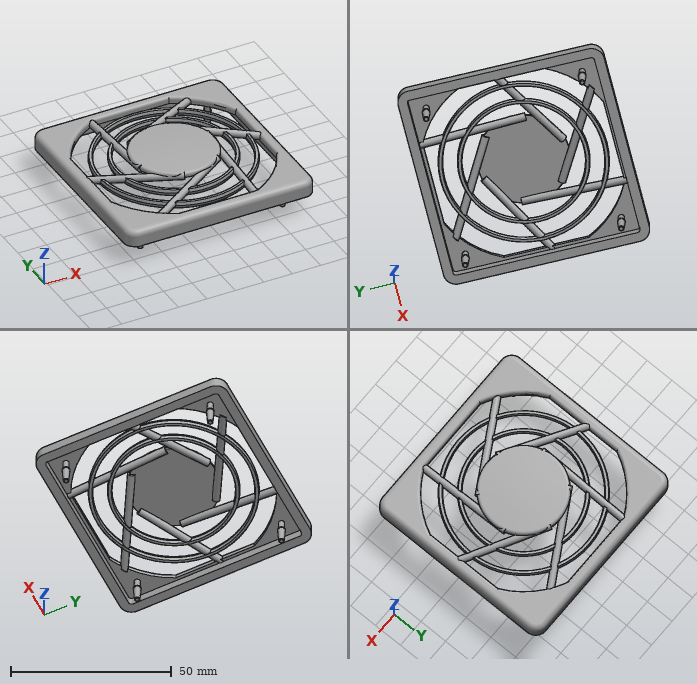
import cadquery as cq
import math

frame_size = 66.0
frame_height = 5.5
corner_radius = 4.0
rim_fillet = 2.0
plate_thickness = 2.3
skirt_thickness = 3.05

opening_radius = 32.0
opening_half_width = 29.0
opening_fillet = 1.0

hub_radius = 14.6
hub_bottom = 6.5
hub_top = 8.5
dome_rise = 0.4
hub_edge_fillet = 1.0

spoke_count = 6
spoke_radius = 1.25
spoke_bulge = 0.1
spoke_offset = hub_radius + spoke_bulge - spoke_radius
spoke_hub_height = 6.5
spoke_drop_per_length = 0.085
spoke_overlap = 3.95

ring_radii = (19.9, 25.95)
ring_width = 1.5
ring_flat_width = 0.9
ring_height = 2.2
ring_below_spokes = 0.25

pin_position = 25.0
pin_length = 6.6
neck_radius = 1.0
neck_length = 0.5
pin_top_radius = 1.25
pin_tip_radius = 0.85
pin_tip_chamfer = 0.25

plate_bottom = frame_height - plate_thickness


def opening_prism(margin, bottom, height):
    """Solid with the opening outline grown outward by the margin."""
    width = 2 * (opening_half_width + margin)
    disc = cq.Workplane("XY").workplane(offset=bottom).circle(opening_radius + margin).extrude(height)
    block = cq.Workplane("XY").workplane(offset=bottom).rect(width, width).extrude(height)
    return disc.intersect(block)


def spoke_axis_height(length):
    """Height of a spoke axis at a horizontal distance outward from its tangent point."""
    return spoke_hub_height - spoke_drop_per_length * length


def make_frame():
    """Plate with a skirt around it, hollow below and open in the middle."""
    frame = (
        cq.Workplane("XY")
        .rect(frame_size, frame_size)
        .extrude(frame_height)
        .edges("|Z")
        .fillet(corner_radius)
        .faces(">Z")
        .edges()
        .fillet(rim_fillet)
    )
    cavity_size = frame_size - 2 * skirt_thickness
    cavity = (
        cq.Workplane("XY")
        .rect(cavity_size, cavity_size)
        .extrude(plate_bottom)
        .edges("|Z")
        .fillet(corner_radius - skirt_thickness)
    )
    frame = frame.cut(cavity).cut(opening_prism(0, 0, frame_height))
    inside = cq.selectors.BoxSelector(
        (-opening_radius, -opening_radius, plate_bottom),
        (opening_radius, opening_radius, frame_height + plate_thickness),
    )
    opening_edges = frame.faces(">Z").edges(inside)
    return opening_edges.fillet(opening_fillet)


def make_hub():
    """Disc turned from its half section."""
    rim_top = hub_top - dome_rise
    flat_radius = hub_radius - hub_edge_fillet
    dome_radius = (flat_radius**2 + dome_rise**2) / (2 * dome_rise)
    mid_radius = flat_radius / 2
    mid_height = hub_top - dome_radius + math.sqrt(dome_radius**2 - mid_radius**2)
    edge_mid = hub_edge_fillet * math.sqrt(0.5)
    return (
        cq.Workplane("XZ")
        .moveTo(0, hub_bottom)
        .lineTo(hub_radius, hub_bottom)
        .lineTo(hub_radius, rim_top - hub_edge_fillet)
        .threePointArc(
            (flat_radius + edge_mid, rim_top - hub_edge_fillet + edge_mid),
            (flat_radius, rim_top),
        )
        .threePointArc((mid_radius, mid_height), (0, hub_top))
        .close()
        .revolve(360, (0, 0, 0), (0, 1, 0))
    )


def make_ring(radius):
    """Ring centred slightly below the axes of the spokes it crosses."""
    crossing = math.sqrt(radius**2 - spoke_offset**2)
    half_width = ring_width / 2
    half_flat = ring_flat_width / 2
    half_height = ring_height / 2
    section = [
        (half_width, 0),
        (half_flat, half_height),
        (-half_flat, half_height),
        (-half_width, 0),
        (-half_flat, -half_height),
        (half_flat, -half_height),
    ]
    return (
        cq.Workplane("XZ")
        .center(radius, spoke_axis_height(crossing) - ring_below_spokes)
        .polyline(section)
        .close()
        .revolve(360, (-radius, 0, 0), (-radius, 1, 0))
    )


def make_spoke():
    """Bar along +Y, starting under the hub and running past the opening edge."""
    direction = cq.Vector(0, 1, -spoke_drop_per_length)
    start = cq.Vector(-spoke_offset, -spoke_overlap, spoke_axis_height(-spoke_overlap))
    length = (opening_radius + spoke_overlap) * direction.Length
    return cq.Workplane(cq.Solid.makeCylinder(spoke_radius, length, start, direction))


def make_pin():
    """Neck down from the plate, then a wider shank tapering to a chamfered tip."""
    return (
        cq.Workplane("XZ")
        .moveTo(0, plate_bottom)
        .lineTo(neck_radius, plate_bottom)
        .lineTo(neck_radius, -neck_length)
        .lineTo(pin_top_radius, -neck_length)
        .lineTo(pin_tip_radius, pin_tip_chamfer - pin_length)
        .lineTo(pin_tip_radius - pin_tip_chamfer, -pin_length)
        .lineTo(0, -pin_length)
        .close()
        .revolve(360, (0, 0, 0), (0, 1, 0))
    )


result = make_frame().union(make_hub())

spoke_limit = opening_prism(opening_fillet, 0, hub_top)
for index in range(spoke_count):
    spoke = make_spoke().rotate((0, 0, 0), (0, 0, 1), index * 360 / spoke_count)
    result = result.union(spoke.intersect(spoke_limit))

for radius in ring_radii:
    result = result.union(make_ring(radius))

for x in (-pin_position, pin_position):
    for y in (-pin_position, pin_position):
        result = result.union(make_pin().translate((x, y, 0)))